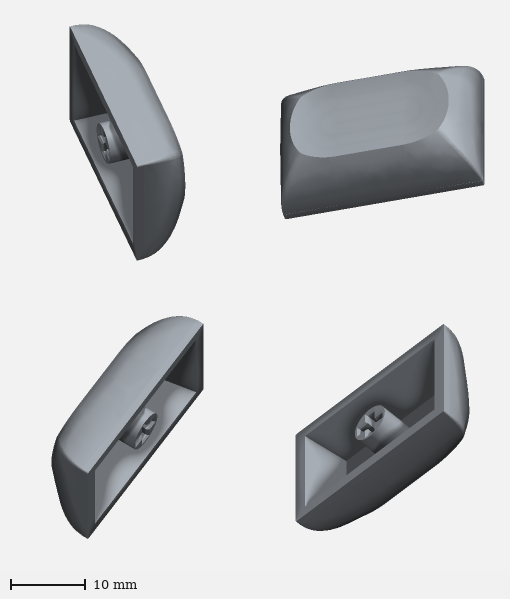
import cadquery as cq
import math

length = 27.7
width = 18.2
skirt_height = 1.0
skirt_corner_radius = 0.25

middle_half_length = 4.7

wall_radius = 9.5
blank_height = 7.92
top_corner_radius = 0.83
least_bow = 0.03
bow_per_inset = 0.45
wall_sections = 5

dish_radius = 29.08
dish_floor_height = 7.1
dish_reach = 11.08
dish_top = 11.08

rim_width = 1.77
cavity_depth = 5.68
cavity_inset = 2.15

stem_diameter = 5.6
cross_span = 4.82
cross_arm_width = 1.8
lead_in_inset = 0.3
lead_in_depth = 0.25
cross_depth = 3.6


def plane_at(height):
    """XZ plane at the given Y whose normal points along +Y."""
    return cq.Plane(origin=(0, height, 0), xDir=(1, 0, 0), normal=(0, 1, 0))


def tapered_block(size_x, size_z, inset, depth):
    """Rectangular pocket shape that narrows from y = 0 to the given depth."""
    return (
        cq.Workplane(plane_at(0))
        .rect(size_x, size_z)
        .workplane(offset=depth)
        .rect(size_x - 2 * inset, size_z - 2 * inset)
        .loft(ruled=True)
    )


def make_skirt():
    skirt = cq.Workplane(plane_at(0)).rect(length, width).extrude(skirt_height)
    return skirt.edges("|Y").fillet(skirt_corner_radius)


def wall_section(inset, corner_radius):
    """Closed outline with straight middles, bowed ends and rounded corners."""
    half_x = length / 2 - inset
    half_z = width / 2 - inset
    bow = least_bow + bow_per_inset * inset
    corner_x = half_x - bow
    corner_z = half_z - bow
    quarter_x = (middle_half_length + corner_x) / 2
    quarter_z = half_z - bow / 4
    outline = (
        cq.Sketch()
        .segment((-middle_half_length, half_z), (middle_half_length, half_z))
        .arc((middle_half_length, half_z), (quarter_x, quarter_z), (corner_x, corner_z))
        .arc((corner_x, corner_z), (half_x, 0), (corner_x, -corner_z))
        .arc((corner_x, -corner_z), (quarter_x, -quarter_z), (middle_half_length, -half_z))
        .segment((middle_half_length, -half_z), (-middle_half_length, -half_z))
        .arc((-middle_half_length, -half_z), (-quarter_x, -quarter_z), (-corner_x, -corner_z))
        .arc((-corner_x, -corner_z), (-half_x, 0), (-corner_x, corner_z))
        .arc((-corner_x, corner_z), (-quarter_x, quarter_z), (-middle_half_length, half_z))
        .assemble()
    )
    for side in (-1, 1):
        corner_box = cq.selectors.BoxSelector(
            (side * (corner_x - bow), -width, -0.28),
            (side * length, width, 0.28),
        )
        outline.vertices(corner_box).fillet(corner_radius).reset()
    return outline


def make_wall_blank():
    """Loft along the wall arc, with ends that bow out more toward the top."""
    rise = blank_height - skirt_height
    sections = []
    for index in range(wall_sections):
        fraction = index / (wall_sections - 1)
        climb = rise * fraction
        inset = wall_radius - math.sqrt(wall_radius**2 - climb**2)
        corner_radius = skirt_corner_radius + (top_corner_radius - skirt_corner_radius) * fraction
        section = wall_section(inset, corner_radius)
        sections.append(section.moved(cq.Location(cq.Vector(0, 0, climb))))
    return cq.Workplane(plane_at(skirt_height)).placeSketch(*sections).loft()


def dish_half_profile(plane):
    """Half section of the dish, from its axis out to beyond the wall."""
    sag = dish_radius - math.sqrt(dish_radius**2 - dish_reach**2)
    mid_sag = dish_radius - math.sqrt(dish_radius**2 - (dish_reach / 2) ** 2)
    return (
        cq.Workplane(plane)
        .moveTo(0, dish_floor_height)
        .threePointArc(
            (dish_reach / 2, dish_floor_height + mid_sag),
            (dish_reach, dish_floor_height + sag),
        )
        .lineTo(dish_reach, dish_top)
        .lineTo(0, dish_top)
        .close()
    )


def make_dish():
    trough_plane = cq.Plane(origin=(-middle_half_length, 0, 0), xDir=(0, 0, -1), normal=(1, 0, 0))
    half_trough = dish_half_profile(trough_plane).extrude(2 * middle_half_length)
    dish = half_trough.union(half_trough.mirror("XY"))
    for side in (-1, 1):
        end_plane = cq.Plane(origin=(side * middle_half_length, 0, 0))
        end_bowl = dish_half_profile(end_plane).revolve(360, (0, 0), (0, 1))
        dish = dish.union(end_bowl)
    return dish


def make_cavity():
    opening_x = length - 2 * rim_width
    opening_z = width - 2 * rim_width
    return tapered_block(opening_x, opening_z, cavity_inset, cavity_depth)


def make_stem():
    return cq.Workplane(plane_at(0)).circle(stem_diameter / 2).extrude(cavity_depth)


def make_cross_socket():
    """Straight cross with a sloped lead-in at its mouth."""
    inner_span = cross_span - 2 * lead_in_inset
    inner_arm = cross_arm_width - 2 * lead_in_inset
    socket = cq.Workplane(plane_at(0)).rect(inner_span, inner_arm).extrude(cross_depth)
    socket = socket.union(cq.Workplane(plane_at(0)).rect(inner_arm, inner_span).extrude(cross_depth))
    for size_x, size_z in ((cross_span, cross_arm_width), (cross_arm_width, cross_span)):
        socket = socket.union(tapered_block(size_x, size_z, lead_in_inset, lead_in_depth))
    return socket


cap = make_wall_blank().cut(make_dish()).union(make_skirt())
result = cap.cut(make_cavity()).union(make_stem()).cut(make_cross_socket())